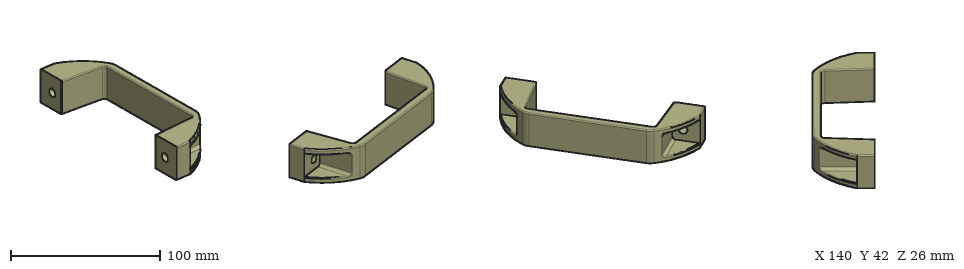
import cadquery as cq

length = 140.0
height = 42.0
width = 26.0

grip_thickness = 6.0
foot_side_height = 12.0
foot_width = 22.0
leg_taper = 2.4
shoulder_radius = 56.0
shoulder_end_x = 43.5
grip_corner_radius = 9.8
inner_corner_radius = 2.5
edge_radius = 0.8
foot_bevel_width = 1.3
foot_bevel_depth = 0.4

recess_width = 17.6
recess_wall_x = 50.7
recess_corner_radius = 2.2
recess_lip_radius = 0.7
hole_diameter = 6.2
hole_x = 58.0
hole_z = -0.4

half_length = length / 2
half_width = width / 2
grip_underside = height - grip_thickness
inner_foot_x = half_length - foot_width
inner_top_x = inner_foot_x - leg_taper


def make_bow():
    """Extrude the bow outline and round its corners and side edges."""
    bow = (
        cq.Workplane("XY")
        .workplane(offset=-half_width)
        .moveTo(-half_length, 0)
        .lineTo(-half_length, foot_side_height)
        .radiusArc((-shoulder_end_x, height), shoulder_radius)
        .lineTo(shoulder_end_x, height)
        .radiusArc((half_length, foot_side_height), shoulder_radius)
        .lineTo(half_length, 0)
        .lineTo(inner_foot_x, 0)
        .lineTo(inner_top_x, grip_underside)
        .lineTo(-inner_top_x, grip_underside)
        .lineTo(-inner_foot_x, 0)
        .close()
        .extrude(width)
    )
    for corner_x, corner_y, radius in (
        (shoulder_end_x, height, grip_corner_radius),
        (inner_top_x, grip_underside, inner_corner_radius),
    ):
        for side in (-1, 1):
            corner = cq.selectors.NearestToPointSelector((side * corner_x, corner_y, 0))
            bow = bow.edges(corner).fillet(radius)
    side_edges = bow.faces("<Z or >Z").edges().filter(lambda edge: edge.Center().y > edge_radius)
    return side_edges.fillet(edge_radius)


def make_recess(side):
    """Cutter for the recess, open to the shoulder and floored at the top of the foot side."""
    depth = half_length - recess_wall_x
    return (
        cq.Workplane("XY")
        .box(depth, height, recess_width, centered=(True, False, True))
        .edges(">X" if side < 0 else "<X")
        .edges("|Y")
        .fillet(recess_corner_radius)
        .translate((side * (recess_wall_x + depth / 2), foot_side_height, 0))
    )


def make_hole(side):
    """Cutter for the screw hole from the mounting face into the recess."""
    return (
        cq.Workplane("XZ")
        .center(side * hole_x, hole_z)
        .circle(hole_diameter / 2)
        .extrude(-height)
    )


def make_foot_bevel():
    """Cutter for the bevel on the inner edge of the -X mounting face."""
    return (
        cq.Workplane("XY")
        .moveTo(-inner_foot_x - foot_bevel_width, 0)
        .lineTo(-inner_foot_x, foot_bevel_depth)
        .lineTo(-inner_foot_x + foot_bevel_width, foot_bevel_depth)
        .lineTo(-inner_foot_x + foot_bevel_width, 0)
        .close()
        .extrude(width, both=True)
    )


def is_recess_lip(edge):
    """True for edges where the recess breaks through the curved shoulder."""
    box = edge.BoundingBox()
    inside_recess = max(abs(box.zmin), abs(box.zmax)) < recess_width / 2 + edge_radius / 2
    beyond_wall = abs(edge.Center().x) > recess_wall_x - edge_radius / 2
    slanted = box.ylen > edge_radius / 2 and box.xlen > edge_radius / 2
    at_wall = edge.Center().y > foot_side_height + grip_thickness and box.ylen < edge_radius / 2
    return inside_recess and beyond_wall and (slanted or at_wall)


result = make_bow()
for leg_side in (-1, 1):
    result = result.cut(make_recess(leg_side)).cut(make_hole(leg_side))
result = result.edges().filter(is_recess_lip).fillet(recess_lip_radius)
result = result.cut(make_foot_bevel())